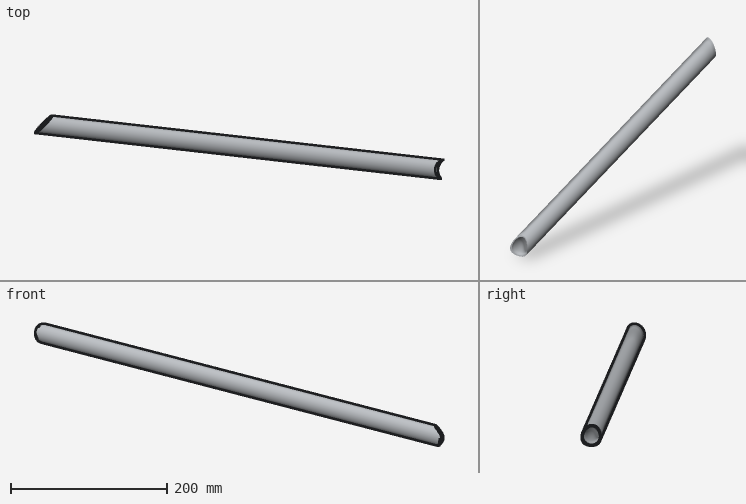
import cadquery as cq

outer_diameter = 25.0
wall = 1.5
axis = cq.Vector(100, -11.3, -26)
overrun = 52.5
trim_width = 4 * overrun
trim_depth = 2 * overrun

mitre_x = 0.0
saddle_x = 519.0

mitre_normal = cq.Vector(-1, 1, 0.2)
post_diameter = 30.0
post_axis = cq.Vector(-0.15, 0, 1)


def point_on_axis(x):
    """Point of the tube's centreline at the given X."""
    return axis * (x / axis.x)


def cylinder(start, direction, length, diameter):
    """Round bar from a start point along a direction."""
    return cq.Solid.makeCylinder(diameter / 2, length, start, direction)


def make_tube():
    """Overlong straight tube, still with square ends."""
    start = point_on_axis(mitre_x - overrun)
    end = point_on_axis(saddle_x + overrun)
    length = (end - start).Length
    outside = cylinder(start, axis, length, outer_diameter)
    bore = cylinder(start, axis, length, outer_diameter - 2 * wall)
    return cq.Workplane(obj=outside).cut(cq.Workplane(obj=bore))


def mitre_cutter():
    """Block that removes everything outside the flat slanted end."""
    plane = cq.Plane(origin=point_on_axis(mitre_x), normal=mitre_normal)
    return cq.Workplane(plane).rect(trim_width, trim_width).extrude(trim_depth)


def saddle_cutter():
    """Round post together with all the stock beyond its centre plane."""
    centre = point_on_axis(saddle_x)
    post_direction = post_axis.normalized()
    post = cylinder(centre - post_direction * overrun, post_direction, 2 * overrun, post_diameter)
    outward = axis - post_direction * axis.dot(post_direction)
    beyond = cq.Workplane(cq.Plane(origin=centre, normal=outward))
    beyond = beyond.rect(trim_width, trim_width).extrude(trim_depth)
    return beyond.union(cq.Workplane(obj=post))


result = make_tube().cut(mitre_cutter()).cut(saddle_cutter())